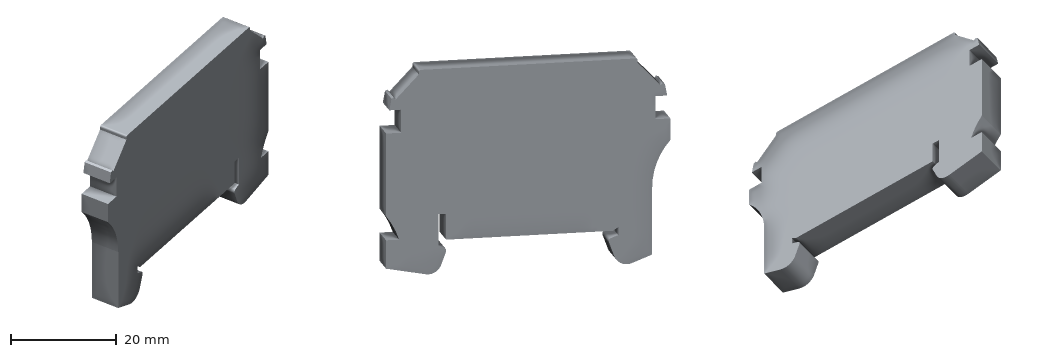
import cadquery as cq
import math

length = 55.0
height = 40.2
thickness = 6.0
half_length = length / 2

top_half_width = 21.2
top_edge_height = height - 0.9
top_corner_radius = 0.4
slope_foot_y = half_length - 1.85
slope_foot_height = height - 5.5
lip_crest_y = half_length - 1.5
lip_crest_height = height - 5.1
lip_shoulder_y = half_length - 1.05
lip_shoulder_height = height - 5.35
lip_tip_y = half_length - 0.6
notch_depth = 2.9
notch_floor_y = half_length - notch_depth
notch_top = height - 7.6
notch_bottom = height - 12.1

foot_corner_height = 1.65
heel_radius = 2.65
hook_tip_radius = 0.65
hook_angle = math.radians(20.4)
body_bottom = 6.7

recess_top = 11.9
recess_bottom = 7.2
recess_depth = 2.55
recess_bulge_y = half_length - 1.4
recess_bulge_height = 9.85
slot_outer_y = half_length - 10.1
slot_inner_y = half_length - 11.6
slot_top = 11.75
slot_hook_height = 5.55
left_hook_tip = (half_length - 11.8, 4.95)
left_heel = (half_length - 9.85, -0.3)

right_foot_y = -24.0
flank_top = 23.85
flank_bottom = 14.75
undercut_y = -17.45
undercut_start_y = -16.4
undercut_top = 7.35
undercut_bottom = 5.85
right_hook_length = 2.05


def shoulder_points(side):
    """Points from the top corner down to the end wall; side is +1 or -1 along Y."""
    half_profile = [
        (top_half_width, height),
        (top_half_width, top_edge_height),
        (slope_foot_y, slope_foot_height),
        (lip_crest_y, lip_crest_height),
        (lip_shoulder_y, lip_shoulder_height),
        (lip_tip_y, notch_top),
        (notch_floor_y, notch_top),
        (notch_floor_y, notch_bottom),
        (half_length, notch_bottom),
    ]
    return [(side * y, z) for y, z in half_profile]


right_hook_tip = (
    undercut_y + right_hook_length,
    undercut_bottom - right_hook_length * math.tan(hook_angle),
)
sole_run = right_hook_tip[0] - right_foot_y
sole_drop = foot_corner_height - right_hook_tip[1]
inner_face_length = -sole_drop * math.cos(hook_angle) + sole_run * math.sin(hook_angle)
right_heel = (
    right_hook_tip[0] - inner_face_length * math.sin(hook_angle),
    right_hook_tip[1] - inner_face_length * math.cos(hook_angle),
)

flank_width = half_length + right_foot_y
flank_rise = flank_top - flank_bottom
flank_radius = (flank_width**2 + flank_rise**2) / (2 * flank_width)
flank_half_angle = math.asin(flank_rise / flank_radius) / 2
flank_middle = (
    right_foot_y - flank_radius * (1 - math.cos(flank_half_angle)),
    flank_bottom + flank_radius * math.sin(flank_half_angle),
)

outline = (
    cq.Workplane("YZ", origin=(-thickness / 2, 0, 0))
    .polyline(shoulder_points(1))
    .lineTo(half_length, recess_top)
    .threePointArc(
        (recess_bulge_y, recess_bulge_height),
        (half_length - recess_depth, recess_bottom),
    )
    .lineTo(half_length, recess_bottom)
    .lineTo(half_length, foot_corner_height)
    .lineTo(*left_heel)
    .lineTo(*left_hook_tip)
    .lineTo(slot_outer_y, slot_hook_height)
    .lineTo(slot_outer_y, slot_top)
    .lineTo(slot_inner_y, slot_top)
    .lineTo(slot_inner_y, body_bottom)
    .lineTo(undercut_start_y, body_bottom)
    .lineTo(undercut_y, undercut_top)
    .lineTo(undercut_y, undercut_bottom)
    .lineTo(*right_hook_tip)
    .lineTo(*right_heel)
    .lineTo(right_foot_y, foot_corner_height)
    .lineTo(right_foot_y, flank_bottom)
    .threePointArc(flank_middle, (-half_length, flank_top))
)
for point in reversed(shoulder_points(-1)):
    outline = outline.lineTo(*point)
plate = outline.close().extrude(thickness)


def round_corner(body, corner, radius):
    """Round the straight edge along X that passes through the (Y, Z) corner."""
    edge = cq.selectors.NearestToPointSelector((0, *corner))
    return body.edges("|X").edges(edge).fillet(radius)


rounded_corners = [
    ((top_half_width, height), top_corner_radius),
    ((-top_half_width, height), top_corner_radius),
    (left_hook_tip, hook_tip_radius),
    (right_hook_tip, hook_tip_radius),
    (left_heel, heel_radius),
    (right_heel, heel_radius),
]
for corner, radius in rounded_corners:
    plate = round_corner(plate, corner, radius)

result = plate